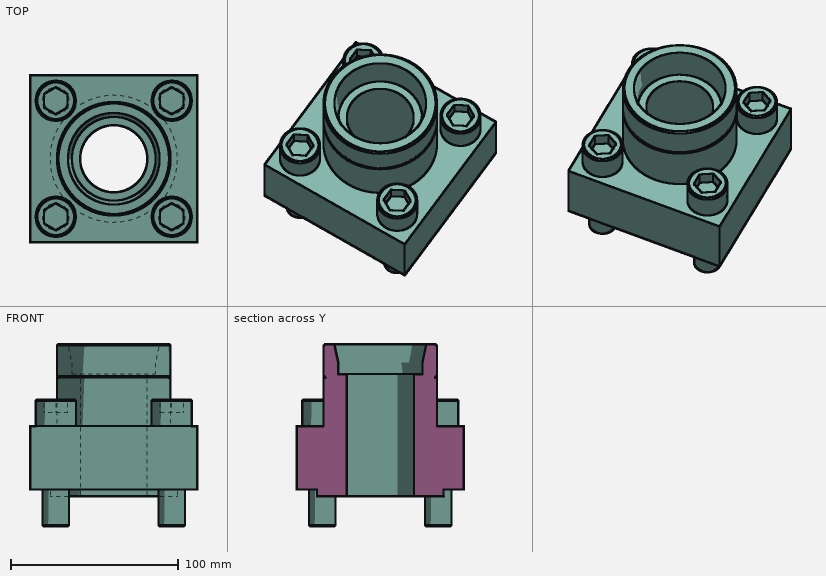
import cadquery as cq
import math

plate_side = 100.0
plate_height = 38.0

neck_diameter = 68.0
neck_height = 49.0
neck_top = plate_height + neck_height
end_ring_height = 20.0
ring_chamfer = 1.0

spigot_diameter = 76.0
spigot_height = 4.0

bore_diameter = 40.0
seat_diameter = 50.0
seat_depth = 18.0
cone_depth = 11.3
cone_half_angle = 12.0
cone_mouth_radius = seat_diameter / 2 + cone_depth * math.tan(math.radians(cone_half_angle))

bolt_circle_diameter = 98.0
bolt_spacing = bolt_circle_diameter / math.sqrt(2)
shank_diameter = 16.0
shank_length = 60.0
shank_tip_chamfer = 1.0
head_diameter = 24.0
head_height = 16.0
head_chamfer = 1.0
socket_across_flats = 14.0
socket_across_corners = socket_across_flats / math.cos(math.pi / 6)
socket_depth = 8.0
socket_turn = 90.0


def make_plate():
    return cq.Workplane("XY").box(plate_side, plate_side, plate_height, centered=(True, True, False))


def make_neck():
    """Neck with a chamfered end ring; the ring's lower chamfer leaves a V groove."""
    radius = neck_diameter / 2
    lower_height = neck_height - end_ring_height
    neck = cq.Workplane("XY").workplane(offset=plate_height).circle(radius).extrude(lower_height)
    ring = (
        cq.Workplane("XY")
        .workplane(offset=neck_top - end_ring_height)
        .circle(radius)
        .extrude(end_ring_height)
        .edges()
        .chamfer(ring_chamfer)
    )
    return neck.union(ring)


def make_spigot():
    return cq.Workplane("XY").circle(spigot_diameter / 2).extrude(-spigot_height)


def make_bore():
    """Revolved cutter: through bore, tube seat and the cone that opens at the neck's end."""
    cone_bottom = neck_top - cone_depth
    seat_bottom = neck_top - seat_depth
    profile = [
        (0, -spigot_height),
        (bore_diameter / 2, -spigot_height),
        (bore_diameter / 2, seat_bottom),
        (seat_diameter / 2, seat_bottom),
        (seat_diameter / 2, cone_bottom),
        (cone_mouth_radius, neck_top),
        (0, neck_top),
    ]
    return cq.Workplane("XZ").polyline(profile).close().revolve(360, (0, 0), (0, 1))


def make_screw():
    """Socket head screw on the Z axis, its head resting on the plate's top face."""
    seat = cq.Workplane("XY").workplane(offset=plate_height)
    shank = seat.circle(shank_diameter / 2).extrude(-shank_length)
    shank = shank.faces("<Z").edges().chamfer(shank_tip_chamfer)
    head = seat.circle(head_diameter / 2).extrude(head_height)
    head = head.faces(">Z").edges().chamfer(head_chamfer)
    socket = (
        cq.Workplane("XY")
        .workplane(offset=plate_height + head_height)
        .transformed(rotate=(0, 0, socket_turn))
        .polygon(6, socket_across_corners)
        .extrude(-socket_depth)
    )
    return shank.union(head).cut(socket)


result = make_plate().union(make_neck()).union(make_spigot()).cut(make_bore())

screw = make_screw()
for x_side in (-1, 1):
    for y_side in (-1, 1):
        position = (x_side * bolt_spacing / 2, y_side * bolt_spacing / 2, 0)
        result = result.union(screw.translate(position))